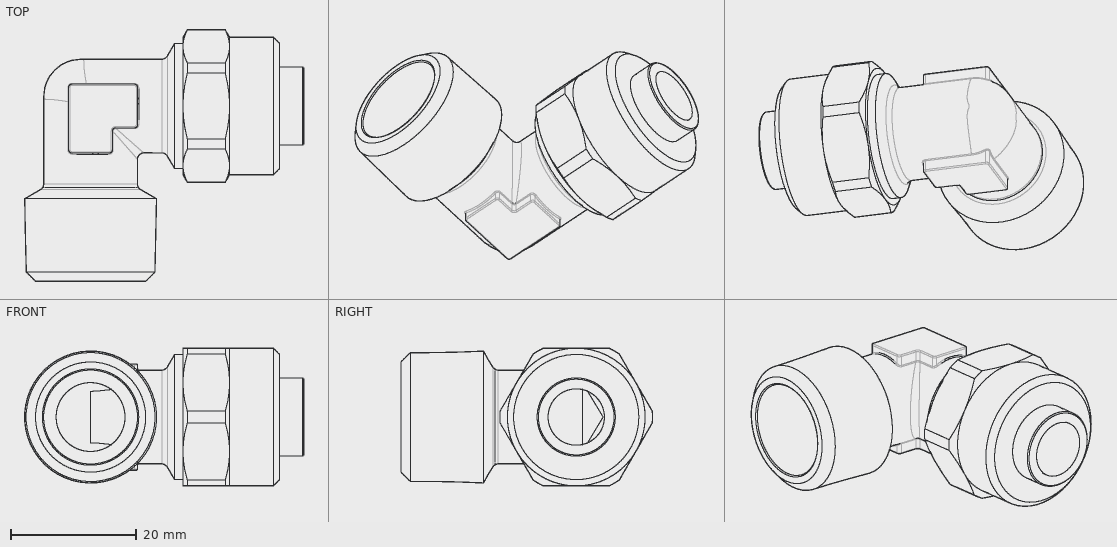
import cadquery as cq
import math


body_radius = 7.5
outer_bend_radius = 6.0
inner_bend_radius = 1.0
neck_fillet = 1.0
shoulder_slope = math.radians(60)

male_shoulder = 14.8
male_end = 28.0
male_shoulder_radius = 10.55
male_end_radius = 10.3
male_chamfer = 1.5

flange_start = 13.4
flange_radius = 10.0

nut_start = 14.75
hex_end = 22.2
nut_end = 30.2
across_flats = 22.0
hex_corner_radius = 12.2
hex_chamfer_slope = math.radians(30)
nut_chamfer = 1.0

tube_end = 34.06
tube_radius = 6.25
tube_chamfer = 0.2

pad_edge = 3.5
pad_root = 7.0
pad_reach = 7.5
pad_height = 8.5
pad_corner_fillet = 0.5
pad_rim_fillet = 0.2
pad_base_fillet = 0.2

male_bore_radius = 5.5
male_bore_end = 1.0
drill_tip_slope = math.radians(59)
mouth_radius = 7.7
mouth_inner_radius = 7.5
mouth_chamfer = 0.2
mouth_floor = 13.0
cross_bore_radius = 4.5


def turned_x(profile):
    """Solid of revolution about X from (x, radius) points."""
    return cq.Workplane("XY").polyline(profile).close().revolve(360, (0, 0, 0), (1, 0, 0))


def turned_y(profile):
    """Solid of revolution about Y from (distance towards -Y, radius) points."""
    points = [(radius, -distance) for distance, radius in profile]
    return cq.Workplane("XY").polyline(points).close().revolve(360, (0, 0, 0), (0, 1, 0))


def shoulder_foot(position, radius):
    """Where the cone that ends at this position and radius meets the body cylinder."""
    return position - (radius - body_radius) / math.tan(shoulder_slope)


def bend():
    """Two equal cylinders mitred together, rounded outside and inside the bend."""
    arm_x_end = shoulder_foot(flange_start, flange_radius)
    arm_y_end = shoulder_foot(male_shoulder, male_shoulder_radius)
    overrun = 2 * body_radius
    arm_x = cq.Workplane("YZ", origin=(-overrun, 0, 0)).circle(body_radius).extrude(overrun + arm_x_end)
    arm_y = cq.Workplane("XZ", origin=(0, overrun, 0)).circle(body_radius).extrude(overrun + arm_y_end)
    far = 3 * overrun
    upper_right = (
        cq.Workplane("XY", origin=(0, 0, -far / 2))
        .polyline([(-far, far), (far, far), (far, -far)])
        .close()
        .extrude(far)
    )
    elbow = arm_x.intersect(upper_right).union(arm_y.cut(upper_right))

    middle = cq.Workplane("XY").box(far, far, 2 * pad_root)
    rounded = elbow.intersect(middle)
    rounded = rounded.edges(mitre_box(-1)).fillet(outer_bend_radius)
    rounded = rounded.edges(mitre_box(1)).fillet(inner_bend_radius)
    return rounded.union(elbow.cut(middle))


def mitre_box(side):
    """Selects the mitre edge outside (-1) or inside (1) the bend."""
    near = (side * 0.1, -side * 0.1, -pad_root)
    far = (side * body_radius, -side * body_radius, pad_root)
    return cq.selectors.BoxSelector(near, far)


def male_end_solid():
    """Tapered male end with its shoulder cone, blended into the body."""
    foot = shoulder_foot(male_shoulder, male_shoulder_radius)
    neck_start = foot - neck_fillet
    turned = turned_y([
        (neck_start, 0),
        (neck_start, body_radius),
        (foot, body_radius),
        (male_shoulder, male_shoulder_radius),
        (male_end - male_chamfer, male_end_radius),
        (male_end, male_end_radius - male_chamfer),
        (male_end, 0),
    ])
    foot_edge = cq.selectors.NearestToPointSelector((0, -foot, 0))
    return turned.edges(foot_edge).fillet(neck_fillet)


def flange():
    """Flange with its shoulder cone, blended into the body."""
    foot = shoulder_foot(flange_start, flange_radius)
    neck_start = foot - neck_fillet
    turned = turned_x([
        (neck_start, 0),
        (neck_start, body_radius),
        (foot, body_radius),
        (flange_start, flange_radius),
        (nut_start, flange_radius),
        (nut_start, 0),
    ])
    foot_edge = cq.selectors.NearestToPointSelector((foot, 0, 0))
    return turned.edges(foot_edge).fillet(neck_fillet)


def nut():
    """Hexagon with rounded corners and chamfered ends, running into a round collar."""
    flat_radius = across_flats / 2
    chamfer_length = (hex_corner_radius - flat_radius) * math.tan(hex_chamfer_slope)
    hexagon = (
        cq.Workplane("YZ", origin=(nut_start, 0, 0))
        .polygon(6, across_flats / math.cos(math.pi / 6))
        .extrude(hex_end - nut_start)
    )
    envelope = turned_x([
        (nut_start, 0),
        (nut_start, flat_radius),
        (nut_start + chamfer_length, hex_corner_radius),
        (hex_end - chamfer_length, hex_corner_radius),
        (hex_end, flat_radius),
        (hex_end, 0),
    ])
    collar = turned_x([
        (hex_end, 0),
        (hex_end, flat_radius),
        (nut_end - nut_chamfer, flat_radius),
        (nut_end, flat_radius - nut_chamfer),
        (nut_end, 0),
    ])
    return hexagon.intersect(envelope).union(collar)


def tube():
    """Tube stub standing out of the nut."""
    return turned_x([
        (nut_end, 0),
        (nut_end, tube_radius),
        (tube_end - tube_chamfer, tube_radius),
        (tube_end, tube_radius - tube_chamfer),
        (tube_end, 0),
    ])


def pad():
    """L-shaped wrench pad on top of the bend."""
    outline = [
        (-pad_edge, pad_edge),
        (pad_reach, pad_edge),
        (pad_reach, -pad_edge),
        (pad_edge, -pad_edge),
        (pad_edge, -pad_reach),
        (-pad_edge, -pad_reach),
    ]
    return (
        cq.Workplane("XY")
        .polyline(outline)
        .close()
        .extrude(pad_height)
        .edges("|Z")
        .fillet(pad_corner_fillet)
        .faces(">Z")
        .edges()
        .fillet(pad_rim_fillet)
    )


def pad_base_box(side):
    """Selects the edges where the top (1) or bottom (-1) pad meets the body."""
    margin = pad_base_fillet / 10
    near = (-pad_edge - margin, -pad_reach - margin, side * body_radius / 2)
    far = (pad_reach + margin, pad_edge + margin, side * (body_radius + margin))
    return cq.selectors.BoxSelector(near, far, boundingbox=True)


def padded_bend():
    """The bend with both wrench pads, blended in around their bases."""
    top_pad = pad()
    padded = bend().union(top_pad).union(top_pad.mirror("XY"))
    for side in (1, -1):
        padded = padded.edges(pad_base_box(side)).fillet(pad_base_fillet)
    return padded


def male_bore():
    """Stepped bore from the male end, closed by a drill tip."""
    tip = male_bore_end + male_bore_radius / math.tan(drill_tip_slope)
    step = (mouth_inner_radius - male_bore_radius) / math.tan(drill_tip_slope)
    return turned_y([
        (-tip, 0),
        (-male_bore_end, male_bore_radius),
        (mouth_floor - step, male_bore_radius),
        (mouth_floor, mouth_inner_radius),
        (male_end - mouth_chamfer, mouth_inner_radius),
        (male_end, mouth_radius),
        (male_end, 0),
    ])


def cross_bore():
    """Bore along +X from the male bore out through the tube stub."""
    return cq.Workplane("YZ").circle(cross_bore_radius).extrude(tube_end)


body = padded_bend().union(male_end_solid()).union(flange()).union(nut()).union(tube())
result = body.cut(male_bore()).cut(cross_bore())